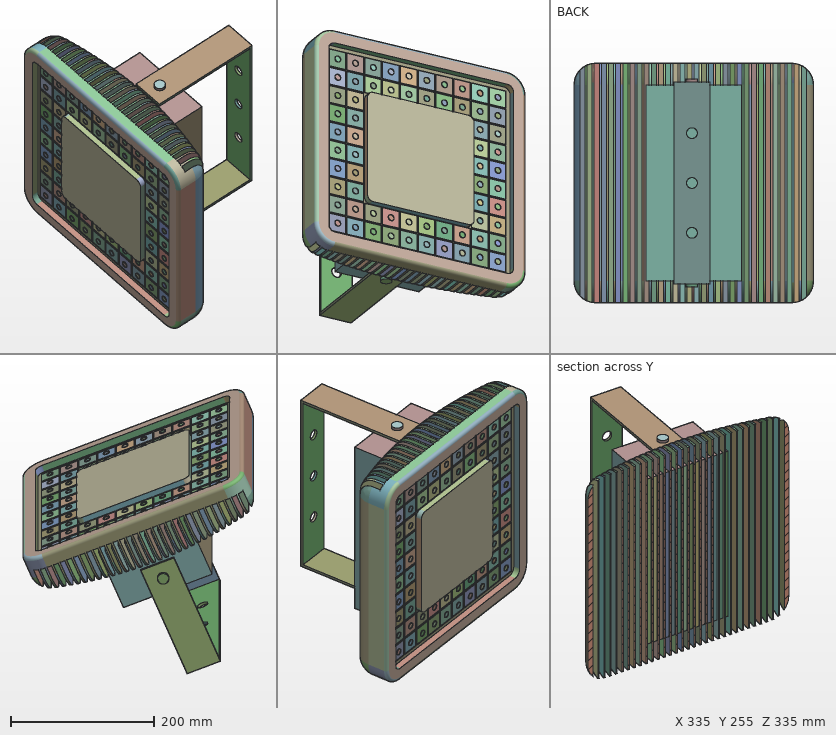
import cadquery as cq


side = 335.0
corner_radius = 30.5
dome_height = 79.0
dome_radius = 596.3
back_fillet = 29.8
front_fillet = 5.0

base_thickness = 19.5
slot_count = 32
slot_width = 7.0
slots_span = 316.5
slot_pitch = (slots_span - slot_width) / (slot_count - 1)
slots_x = 0.85

recess_side = 294.0
recess_depth = 10.0
recess_corner = 10.0

tiles_per_side = 10
border_rows = 2
tile_side = 26.5
tile_field_side = 281.7
tile_pitch = (tile_field_side - tile_side) / (tiles_per_side - 1)
tile_height = 1.0
lens_diameter = 9.0
lens_height = 1.0
tiles_x = -0.7
tiles_z = 0.17

cover_side = 170.0
cover_height = 9.0
cover_corner = 8.7

box_width = 134.0
box_front = 38.5
box_back = 129.3
box_height = side - 2 * corner_radius

bracket_x = 2.5
bracket_width = 50.2
bracket_sheet = 4.0
bracket_front = 84.5
bracket_back = 255.0
mount_hole_count = 3
mount_hole_diameter = 15.0
mount_hole_spacing = 69.7

bolt_y = 106.5
bolt_diameter = 16.0
bolt_head_height = 4.5


def block(width, y_front, y_back, height, x_center=0.0):
    """Box centred on z = 0 that spans y_front to y_back."""
    depth = y_back - y_front
    return cq.Workplane("XY").box(width, depth, height).translate((x_center, y_front + depth / 2, 0))


def housing_blank():
    square = block(side, 0, dome_height, side).edges("|Y").fillet(corner_radius)
    dome = (
        cq.Workplane("XY")
        .center(0, dome_height - dome_radius)
        .circle(dome_radius)
        .extrude(side, both=True)
    )
    blank = square.intersect(dome)
    blank = blank.faces(">Y").edges().fillet(back_fillet)
    return blank.faces("<Y").edges().fillet(front_fillet)


def cooling_slots():
    slot_depth = dome_height - base_thickness
    return (
        cq.Workplane("XY")
        .center(slots_x, base_thickness + slot_depth / 2)
        .rarray(slot_pitch, 3.5, slot_count, 1)
        .rect(slot_width, slot_depth)
        .extrude(side, both=True)
    )


def lamp_recess():
    return block(recess_side, 0, recess_depth, recess_side).edges("|Y").fillet(recess_corner)


def tile_centers():
    """Centres of the tiles in the border that surrounds the cover plate."""
    covered = range(border_rows, tiles_per_side - border_rows)
    middle = (tiles_per_side - 1) / 2
    return [
        (tiles_x + (col - middle) * tile_pitch, tiles_z + (row - middle) * tile_pitch)
        for col in range(tiles_per_side)
        for row in range(tiles_per_side)
        if col not in covered or row not in covered
    ]


def led_tiles():
    recess_floor = cq.Workplane("XZ", origin=(0, recess_depth, 0)).pushPoints(tile_centers())
    tiles = recess_floor.rect(tile_side, tile_side).extrude(tile_height)
    lenses = recess_floor.circle(lens_diameter / 2).extrude(tile_height + lens_height)
    return tiles.union(lenses)


def cover_plate():
    cover = block(cover_side, recess_depth - cover_height, recess_depth, cover_side)
    return cover.edges("|Y").fillet(cover_corner)


def u_bracket():
    outer_height = box_height + 2 * bracket_sheet
    web_front = bracket_back - bracket_sheet
    outer = block(bracket_width, bracket_front, bracket_back, outer_height, bracket_x)
    inner = block(bracket_width, bracket_front, web_front, box_height, bracket_x)
    mount_holes = (
        cq.Workplane("XZ", origin=(bracket_x, bracket_back, 0))
        .rarray(3.5, mount_hole_spacing, 1, mount_hole_count)
        .circle(mount_hole_diameter / 2)
        .extrude(bracket_sheet)
    )
    return outer.cut(inner).cut(mount_holes)


def pivot_bolts():
    half_length = box_height / 2 + bracket_sheet + bolt_head_height
    return (
        cq.Workplane("XY")
        .center(bracket_x, bolt_y)
        .circle(bolt_diameter / 2)
        .extrude(half_length, both=True)
    )


housing = housing_blank().cut(cooling_slots()).cut(lamp_recess())
driver_box = block(box_width, box_front, box_back, box_height)
lamp_face = led_tiles().union(cover_plate())
result = housing.union(driver_box).union(u_bracket()).union(pivot_bolts()).union(lamp_face)